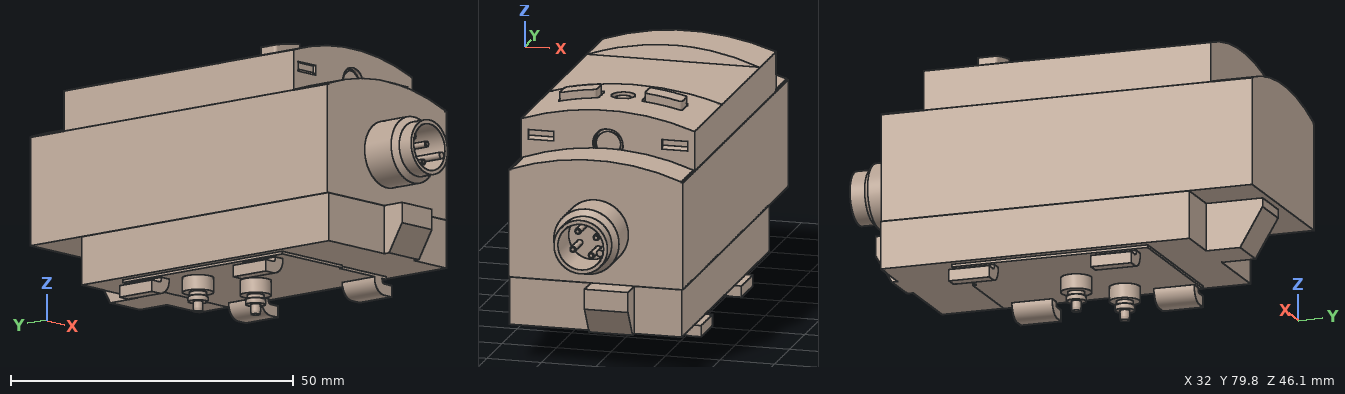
import cadquery as cq
import math

EMBED = 0.4

HOUSING_WIDTH = 32.0
HOUSING_LENGTH = 69.8
HOUSING_BOTTOM = 8.7
HOUSING_EDGE = 28.3
LEDGE_WIDTH = 0.3
LEDGE_STEP = 0.15
HOUSING_CROWN = 31.3

COVER_WIDTH = 31.85
COVER_FRONT = 8.0
COVER_BACK = 62.0
COVER_EDGE = 35.6
COVER_CROWN = 38.3

WINDOW_FLOOR = 35.7
WINDOW_FRONT = 26.25
WINDOW_BACK = 51.15
WINDOW_RISE = COVER_CROWN - WINDOW_FLOOR
WINDOW_FLARE = 0.9

BUTTON_X = 7.8
BUTTON_Y = 18.2
BUTTON_SIZE = (6.9, 3.75)
BUTTON_RISE = 1.4
BUTTON_CORNER = 0.55
BUTTON_POCKET_X = 7.7
BUTTON_POCKET_SIZE = (7.4, 4.55)
BUTTON_POCKET_DEPTH = 0.6
INDICATOR_HOLE = 4.2
INDICATOR_LENS_BASE = 3.4
INDICATOR_LENS_TOP = 2.7

LENS_HOLE_DEPTH = 0.95
LENS_RECESS = 0.4

FRONT_LENS_Z = 32.1
FRONT_LENS_HOLE = 5.5
FRONT_LENS_BASE = 5.3
FRONT_LENS_TOP = 4.5
SLOT_X = 12.3
SLOT_WIDTH = 4.7
SLOT_BOTTOM = 31.9
SLOT_TOP = 33.7
SLOT_DEPTH = 0.6
SLOT_FLOOR_RISE = 0.55

CONNECTOR_Z = 18.0
CONNECTOR_LENGTH = 10.0
BARREL_DIAMETER = 12.0
BARREL_LENGTH = 6.2
NOSE_DIAMETER = 9.8
NOSE_START = 7.2
SOCKET_DIAMETER = 8.4
SOCKET_DEPTH = 7.2
PIN_COUNT = 4
PIN_CIRCLE = 4.95
PIN_FIRST_ANGLE = 30
PIN_DIAMETER = 1.0
PIN_TIP_DIAMETER = 0.75
PIN_RECESS = 2.4
KEY_DIAMETER = 1.2
KEY_RADIUS = 3.6
KEY_ANGLE = -15
KEY_RECESS = 0.15

BASE_WIDTH = 31.6
BASE_FRONT = -0.15
BASE_BACK = 57.9
LATCH_X = 3.1
LATCH_WIDTH = 8.0
LATCH_FRONT = -4.3
LATCH_BACK = 68.55
LATCH_FRONT_LIP = 5.0
LATCH_BACK_LIP = 7.1
LATCH_FOOT_FRONT = -1.3
LATCH_FOOT_BACK = 64.3

PLATE_WIDTH = 28.65
PLATE_THICKNESS = 0.5
PLATE_SPLIT_X = 1.75
PLATE_FRONT = 12.05
PLATE_NOTCH_FRONT = 12.7
PLATE_BACK = 49.55
HOOK_TIP = 15.8
HOOK_ROOT = 11.2
HOOK_DEPTH = 3.4
HOOK_THICKNESS = 2.1
HOOK_INNER_RADIUS = 0.55
HOOK_LENGTH = 7.6
HOOK_STARTS = {-1: (14.7, 41.4), 1: (PLATE_NOTCH_FRONT, 39.4)}

NIPPLE_PLACES = [(-8.6, 36.9), (0, 30.9)]
COLLAR_DIAMETER = 5.5
COLLAR_END = 3.1
NECK_DIAMETER = 3.0
RING_START = 3.8
RING_END = 4.8
RING_DIAMETER = 3.4
RING_BULGE_DIAMETER = 3.6
TIP_DIAMETER = 1.75
TIP_BEVEL_START = 6.0
TIP_END_DIAMETER = 1.5
NIPPLE_LENGTH = 6.55


def box(x_range, y_range, z_range):
    """Axis-aligned block between the given limits."""
    sizes = [high - low for low, high in (x_range, y_range, z_range)]
    corner = (x_range[0], y_range[0], z_range[0])
    return cq.Workplane("XY").box(*sizes, centered=False).translate(corner)


def profile_plane(y):
    """Plane across the module at the given Y; a negative extrusion runs toward the back."""
    return cq.Workplane("XZ", origin=(0, y, 0))


def front_cone(x, y, z, start_diameter, end_diameter, length):
    """Round body along +Y that changes diameter from start to end."""
    cone = cq.Solid.makeCone(
        start_diameter / 2, end_diameter / 2, length, cq.Vector(x, y, z), cq.Vector(0, 1, 0)
    )
    return cq.Workplane(obj=cone)


def front_cylinder(x, y, z, diameter, length):
    """Round bar along +Y."""
    bar = cq.Solid.makeCylinder(diameter / 2, length, cq.Vector(x, y, z), cq.Vector(0, 1, 0))
    return cq.Workplane(obj=bar)


def make_housing():
    half = HOUSING_WIDTH / 2
    crown_half = half - LEDGE_WIDTH
    crown_edge = HOUSING_EDGE + LEDGE_STEP
    return (
        profile_plane(0)
        .moveTo(-half, HOUSING_BOTTOM)
        .lineTo(half, HOUSING_BOTTOM)
        .lineTo(half, HOUSING_EDGE)
        .lineTo(crown_half, HOUSING_EDGE)
        .lineTo(crown_half, crown_edge)
        .threePointArc((0, HOUSING_CROWN), (-crown_half, crown_edge))
        .lineTo(-crown_half, HOUSING_EDGE)
        .lineTo(-half, HOUSING_EDGE)
        .close()
        .extrude(-HOUSING_LENGTH)
    )


def crowned_block(front, back, bottom, rise):
    """Cover cross-section between two Y places, with its arched top lifted by rise."""
    half = COVER_WIDTH / 2
    edge = COVER_EDGE + rise
    return (
        profile_plane(front)
        .moveTo(-half, bottom)
        .lineTo(half, bottom)
        .lineTo(half, edge)
        .threePointArc((0, COVER_CROWN + rise), (-half, edge))
        .close()
        .extrude(front - back)
    )


def make_window():
    """Flat-bottomed cut whose two end walls lean outward."""
    return (
        cq.Workplane("YZ", origin=(-HOUSING_WIDTH / 2, 0, 0))
        .moveTo(WINDOW_FRONT, WINDOW_FLOOR)
        .lineTo(WINDOW_BACK, WINDOW_FLOOR)
        .lineTo(WINDOW_BACK + WINDOW_FLARE, WINDOW_FLOOR + WINDOW_RISE)
        .lineTo(WINDOW_FRONT - WINDOW_FLARE, WINDOW_FLOOR + WINDOW_RISE)
        .close()
        .extrude(HOUSING_WIDTH)
    )


def button_column(x, size):
    """Upright column of the given plan size with rounded corners, standing on the button row."""
    height = COVER_CROWN + BUTTON_RISE - HOUSING_CROWN
    return (
        cq.Workplane("XY", origin=(x, BUTTON_Y, HOUSING_CROWN))
        .rect(*size)
        .extrude(height)
        .edges("|Z")
        .fillet(BUTTON_CORNER)
    )


def add_buttons(cover):
    """Two arched buttons, each standing in a slightly larger pocket."""
    below_pocket = crowned_block(COVER_FRONT, COVER_BACK, HOUSING_BOTTOM, -BUTTON_POCKET_DEPTH)
    button_top = crowned_block(COVER_FRONT, COVER_BACK, HOUSING_BOTTOM, BUTTON_RISE)
    for side in (-1, 1):
        pocket = button_column(side * BUTTON_POCKET_X, BUTTON_POCKET_SIZE).cut(below_pocket)
        button = button_column(side * BUTTON_X, BUTTON_SIZE).intersect(button_top)
        cover = cover.cut(pocket).union(button)
    return cover


def add_lens(body, mouth, outward, hole_diameter, base_diameter, top_diameter):
    """Round hole at mouth with a tapered lens on its floor, both along the outward direction."""
    floor = mouth - outward * LENS_HOLE_DEPTH
    lens_height = LENS_HOLE_DEPTH - LENS_RECESS
    hole = cq.Solid.makeCylinder(hole_diameter / 2, LENS_HOLE_DEPTH, floor, outward)
    lens = cq.Solid.makeCone(base_diameter / 2, top_diameter / 2, lens_height, floor, outward)
    return body.cut(cq.Workplane(obj=hole)).union(cq.Workplane(obj=lens))


def make_front_slot(x):
    """Shallow slot in the front wall of the cover, with a floor that rises inward."""
    inner = COVER_FRONT + SLOT_DEPTH
    return (
        cq.Workplane("YZ", origin=(x - SLOT_WIDTH / 2, 0, 0))
        .moveTo(COVER_FRONT, SLOT_BOTTOM)
        .lineTo(inner, SLOT_BOTTOM + SLOT_FLOOR_RISE)
        .lineTo(inner, SLOT_TOP)
        .lineTo(COVER_FRONT, SLOT_TOP)
        .close()
        .extrude(SLOT_WIDTH)
    )


def make_cover():
    cover = crowned_block(COVER_FRONT, COVER_BACK, HOUSING_EDGE - EMBED, 0)
    cover = cover.cut(make_window())
    cover = add_buttons(cover)
    indicator_mouth = cq.Vector(0, BUTTON_Y, COVER_CROWN)
    cover = add_lens(
        cover, indicator_mouth, cq.Vector(0, 0, 1), INDICATOR_HOLE, INDICATOR_LENS_BASE, INDICATOR_LENS_TOP
    )
    for x in (-SLOT_X, SLOT_X):
        cover = cover.cut(make_front_slot(x))
    return cover


def make_connector():
    """Outer shell of the connector, revolved about its own axis."""
    return (
        cq.Workplane("XY", origin=(0, 0, CONNECTOR_Z))
        .moveTo(0, EMBED)
        .lineTo(BARREL_DIAMETER / 2, EMBED)
        .lineTo(BARREL_DIAMETER / 2, -BARREL_LENGTH)
        .lineTo(NOSE_DIAMETER / 2, -NOSE_START)
        .lineTo(NOSE_DIAMETER / 2, -CONNECTOR_LENGTH)
        .lineTo(0, -CONNECTOR_LENGTH)
        .close()
        .revolve(360, (0, 0, 0), (0, 1, 0))
    )


def on_connector_face(radius, angle):
    """X and Z of a point at a radius and angle about the connector axis."""
    turn = math.radians(angle)
    return radius * math.cos(turn), CONNECTOR_Z + radius * math.sin(turn)


def add_socket(connector):
    socket_floor = SOCKET_DEPTH - CONNECTOR_LENGTH
    connector = connector.cut(
        front_cylinder(0, -CONNECTOR_LENGTH, CONNECTOR_Z, SOCKET_DIAMETER, SOCKET_DEPTH)
    )
    pin_start = PIN_RECESS - CONNECTOR_LENGTH
    bevel = (PIN_DIAMETER - PIN_TIP_DIAMETER) / 2
    for index in range(PIN_COUNT):
        x, z = on_connector_face(PIN_CIRCLE / 2, PIN_FIRST_ANGLE + index * 360 / PIN_COUNT)
        shank_start = pin_start + bevel
        shank_length = socket_floor + EMBED - shank_start
        connector = connector.union(front_cylinder(x, shank_start, z, PIN_DIAMETER, shank_length))
        connector = connector.union(front_cone(x, pin_start, z, PIN_TIP_DIAMETER, PIN_DIAMETER, bevel))
    x, z = on_connector_face(KEY_RADIUS, KEY_ANGLE)
    key_start = KEY_RECESS - CONNECTOR_LENGTH
    key_length = socket_floor + EMBED - key_start
    return connector.union(front_cylinder(x, key_start, z, KEY_DIAMETER, key_length))


def make_base():
    half = BASE_WIDTH / 2
    return box((-half, half), (BASE_FRONT, BASE_BACK), (0, HOUSING_BOTTOM))


def make_latch():
    return (
        cq.Workplane("YZ", origin=(LATCH_X - LATCH_WIDTH / 2, 0, 0))
        .moveTo(LATCH_FRONT, HOUSING_BOTTOM)
        .lineTo(LATCH_FRONT, LATCH_FRONT_LIP)
        .lineTo(LATCH_FOOT_FRONT, 0)
        .lineTo(LATCH_FOOT_BACK, 0)
        .lineTo(LATCH_BACK, LATCH_BACK_LIP)
        .lineTo(LATCH_BACK, HOUSING_BOTTOM)
        .close()
        .extrude(LATCH_WIDTH)
    )


def make_plate():
    """Thin plate whose front edge steps back on the +X side, flush with the hook there."""
    half = PLATE_WIDTH / 2
    z_range = (-PLATE_THICKNESS, EMBED)
    left = box((-half, PLATE_SPLIT_X), (PLATE_FRONT, PLATE_BACK), z_range)
    right = box((PLATE_SPLIT_X, half), (PLATE_NOTCH_FRONT, PLATE_BACK), z_range)
    return left.union(right)


def make_hook(side, start):
    """J-shaped rail hook that leaves the plate and bends outward to the given side."""
    outer_radius = HOOK_INNER_RADIUS + HOOK_THICKNESS
    bend_x = HOOK_ROOT + outer_radius
    bend_z = outer_radius - HOOK_DEPTH
    diagonal = math.sqrt(0.5)

    def bend_point(radius):
        return side * (bend_x - radius * diagonal), bend_z - radius * diagonal

    return (
        profile_plane(start)
        .moveTo(side * HOOK_ROOT, 0)
        .lineTo(side * HOOK_ROOT, bend_z)
        .threePointArc(bend_point(outer_radius), (side * bend_x, -HOOK_DEPTH))
        .lineTo(side * HOOK_TIP, -HOOK_DEPTH)
        .lineTo(side * HOOK_TIP, HOOK_THICKNESS - HOOK_DEPTH)
        .lineTo(side * bend_x, HOOK_THICKNESS - HOOK_DEPTH)
        .threePointArc(bend_point(HOOK_INNER_RADIUS), (side * (HOOK_ROOT + HOOK_THICKNESS), bend_z))
        .lineTo(side * (HOOK_ROOT + HOOK_THICKNESS), 0)
        .close()
        .extrude(-HOOK_LENGTH)
    )


def make_nipple(x, y):
    """Stepped hose nipple with a bulged ring, revolved about a vertical axis."""
    ring_middle = (RING_START + RING_END) / 2
    return (
        cq.Workplane("XZ")
        .moveTo(0, 0)
        .lineTo(COLLAR_DIAMETER / 2, 0)
        .lineTo(COLLAR_DIAMETER / 2, -COLLAR_END)
        .lineTo(NECK_DIAMETER / 2, -COLLAR_END)
        .lineTo(NECK_DIAMETER / 2, -RING_START)
        .lineTo(RING_DIAMETER / 2, -RING_START)
        .threePointArc((RING_BULGE_DIAMETER / 2, -ring_middle), (RING_DIAMETER / 2, -RING_END))
        .lineTo(TIP_DIAMETER / 2, -RING_END)
        .lineTo(TIP_DIAMETER / 2, -TIP_BEVEL_START)
        .lineTo(TIP_END_DIAMETER / 2, -NIPPLE_LENGTH)
        .lineTo(0, -NIPPLE_LENGTH)
        .close()
        .revolve(360, (0, 0, 0), (0, 1, 0))
        .translate((x, y, 0))
    )


result = make_housing().union(make_cover())
front_lens_mouth = cq.Vector(0, COVER_FRONT, FRONT_LENS_Z)
result = add_lens(
    result, front_lens_mouth, cq.Vector(0, -1, 0), FRONT_LENS_HOLE, FRONT_LENS_BASE, FRONT_LENS_TOP
)
result = result.union(add_socket(make_connector()))
result = result.union(make_base()).union(make_latch()).union(make_plate())
for hook_side, hook_starts in HOOK_STARTS.items():
    for hook_start in hook_starts:
        result = result.union(make_hook(hook_side, hook_start))
for nipple_x, nipple_y in NIPPLE_PLACES:
    result = result.union(make_nipple(nipple_x, nipple_y))